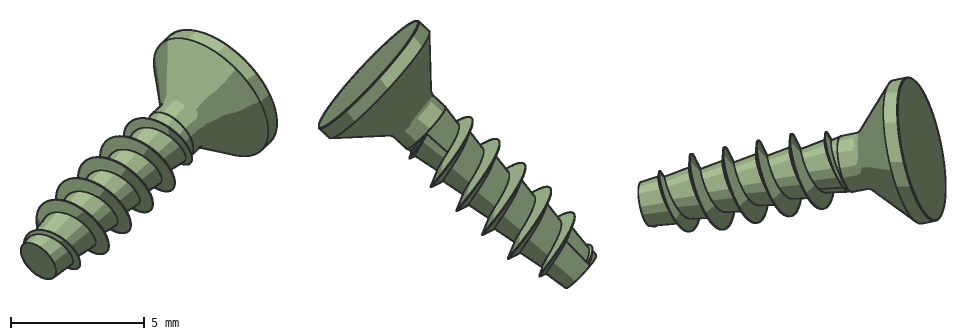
import cadquery as cq
import math

length = 11.0
head_radius = 2.75
head_edge_chamfer = 0.03
rim_depth = 0.57
neck_radius = 1.08
neck_fillet_start_depth = 2.15
neck_fillet_end_depth = 2.36
neck_end_depth = 2.99
shaft_start_radius = 1.07
tip_radius = 0.85
tip_recess_radius = 0.81
tip_recess_depth = 0.05

pitch = 1.33
turns = 5.9
thread_start_depth = 3.01
lead_in_turns = 1.0
run_out_start_turn = 4.5
points_per_turn = 24

crest_radius = 1.52
lead_in_crest_radius = 1.21
run_out_crest_radius = 0.9
crest_half_width = 0.016
front_foot_radius = 0.89
front_foot_offset = 0.24
back_foot_radius = 1.03
back_foot_offset = 0.19
run_out_front_foot_radius = 0.86
run_out_back_foot_radius = 0.87

lead_in_width_ratio = 0.04
run_out_width_ratio = 0.3


def along_thread(turn, start, full, end):
    """Value that grows over the lead-in, stays constant, then fades over the run-out."""
    if turn < lead_in_turns:
        return start + (full - start) * turn / lead_in_turns
    fade = max(0, (turn - run_out_start_turn) / (turns - run_out_start_turn))
    return full + (end - full) * fade


def width_ratio(turn):
    """Thread width relative to full; the square root widens the lead-in early."""
    if turn < lead_in_turns:
        turn = math.sqrt(turn * lead_in_turns)
    return along_thread(turn, lead_in_width_ratio, 1, run_out_width_ratio)


def on_helix(turn, radius, depth):
    """Point at a radius and depth; the turn starts at -Z and passes through +X."""
    angle = 2 * math.pi * turn
    return cq.Vector(radius * math.sin(angle), -depth, -radius * math.cos(angle))


def thread_point(turn, radius, offset):
    return on_helix(turn, radius, thread_start_depth + pitch * turn + offset * width_ratio(turn))


def front_foot(turn):
    radius = along_thread(turn, shaft_start_radius, front_foot_radius, run_out_front_foot_radius)
    return thread_point(turn, radius, -front_foot_offset)


def crest(turn, offset):
    radius = along_thread(turn, lead_in_crest_radius, crest_radius, run_out_crest_radius)
    return thread_point(turn, radius, offset)


def front_crest(turn):
    return crest(turn, -crest_half_width)


def back_crest(turn):
    return crest(turn, crest_half_width)


def back_foot(turn):
    radius = along_thread(turn, shaft_start_radius, back_foot_radius, run_out_back_foot_radius)
    return thread_point(turn, radius, back_foot_offset)


def shaft_start(turn):
    return on_helix(turn, shaft_start_radius, neck_end_depth)


def shaft_end(turn):
    return on_helix(turn, tip_radius, length)


def make_rail(curve, first_turn, last_turn):
    """Edge through points of a curve that depends on the turn."""
    count = max(3, math.ceil((last_turn - first_turn) * points_per_turn))
    step = (last_turn - first_turn) / count
    return cq.Edge.makeSpline([curve(first_turn + step * i) for i in range(count + 1)])


def make_rails(curve, breaks):
    return [make_rail(curve, first, last) for first, last in zip(breaks, breaks[1:])]


def polygon_face(points):
    return cq.Face.makeFromWires(cq.Wire.makePolygon(points, close=True))


def make_shaft():
    """Threaded shaft bounded by ruled faces between helical rails."""
    whole_turns = math.floor(turns)
    partial_turn = turns - whole_turns
    breaks = []
    for turn in range(whole_turns + 1):
        breaks += [turn, turn + partial_turn]
    pieces_per_turn = 2

    thread_curves = [front_foot, front_crest, back_crest, back_foot]
    thread_rails = [make_rails(curve, breaks) for curve in thread_curves]
    start_rails = make_rails(shaft_start, breaks[:pieces_per_turn + 1])
    end_rails = make_rails(shaft_end, breaks[-pieces_per_turn - 1:])

    strips = list(zip(thread_rails, thread_rails[1:]))
    upper_rails = start_rails + thread_rails[-1]
    lower_rails = thread_rails[0] + end_rails
    strips.append((upper_rails, lower_rails))
    faces = []
    for uppers, lowers in strips:
        faces += [cq.Face.makeRuledSurface(upper, lower) for upper, lower in zip(uppers, lowers)]

    start_section = [curve(0) for curve in thread_curves]
    end_section = [curve(turns) for curve in thread_curves]
    faces.append(polygon_face([shaft_start(0)] + start_section + [front_foot(1)]))
    faces.append(polygon_face([back_foot(turns - 1)] + end_section + [shaft_end(turns)]))
    for rails in (start_rails, end_rails):
        faces.append(cq.Face.makeFromWires(cq.Wire.assembleEdges(rails)))
    return cq.Workplane(cq.Solid.makeSolid(cq.Shell.makeShell(faces)).fix())


def make_head():
    """Countersunk head and neck revolved about Y, with a 45 degree cone."""
    cone_end_radius = head_radius - (neck_fillet_start_depth - rim_depth)
    fillet_middle_radius = neck_radius + 0.25 * (cone_end_radius - neck_radius)
    fillet_middle_depth = (neck_fillet_start_depth + neck_fillet_end_depth) / 2
    return (
        cq.Workplane("XY")
        .lineTo(head_radius - head_edge_chamfer, 0)
        .lineTo(head_radius, -head_edge_chamfer)
        .lineTo(head_radius, -rim_depth)
        .lineTo(cone_end_radius, -neck_fillet_start_depth)
        .threePointArc((fillet_middle_radius, -fillet_middle_depth), (neck_radius, -neck_fillet_end_depth))
        .lineTo(neck_radius, -neck_end_depth)
        .lineTo(0, -neck_end_depth)
        .close()
        .revolve(360, (0, 0, 0), (0, 1, 0))
    )


def make_tip_recess():
    """Shallow cone hollowing the tip face."""
    return (
        cq.Workplane("XY")
        .moveTo(0, -length)
        .lineTo(tip_recess_radius, -length)
        .lineTo(0, -length + tip_recess_depth)
        .close()
        .revolve(360, (0, 0, 0), (0, 1, 0))
    )


result = make_head().union(make_shaft()).cut(make_tip_recess())